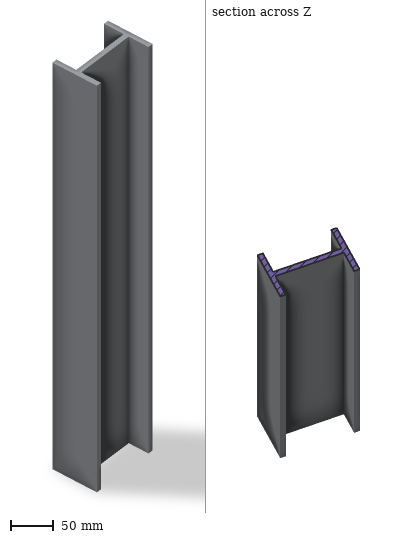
import cadquery as cq

FLANGE_WIDTH = 67.64
DEPTH = 101.6
LENGTH = 609.6

WALL_THICKNESS = 7.44


def i_beam():
    """I-profile extruded along Z, drawn as its +X half and mirrored about the web centre plane."""
    half_width = FLANGE_WIDTH / 2
    half_depth = DEPTH / 2
    half_web = WALL_THICKNESS / 2
    flange_inner = half_depth - WALL_THICKNESS
    half_outline = [
        (0, half_depth),
        (half_width, half_depth),
        (half_width, flange_inner),
        (half_web, flange_inner),
        (half_web, -flange_inner),
        (half_width, -flange_inner),
        (half_width, -half_depth),
        (0, -half_depth),
    ]
    profile = cq.Workplane("XY").polyline(half_outline).mirrorY()
    return profile.extrude(LENGTH, clean=False)


result = i_beam()